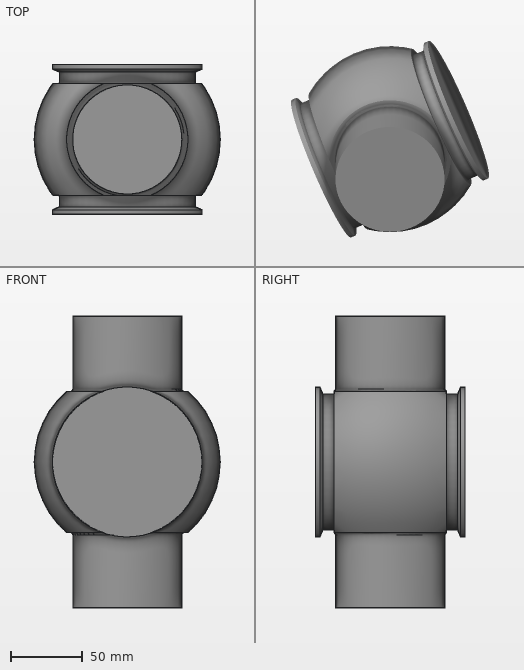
import cadquery as cq

body_diameter = 130.1
body_width = 78.3
body_height = 98.7

pipe_diameter = 76.3
pipe_length = 204.0
pipe_root_fillet = 1.6

port_span = 104.8
neck_diameter = 95.2
flange_diameter = 104.8
neck_root_fillet = 0.6
flange_rim_width = 3.3
flange_taper_width = 2.0

ARC_MID_FRACTION = 1 - 0.5 ** 0.5


def make_body():
    """Sphere trimmed flat at the pipe and port faces."""
    sphere = cq.Workplane("XY").sphere(body_diameter / 2)
    envelope = cq.Workplane("XY").box(body_diameter, body_width, body_height)
    return sphere.intersect(envelope)


def make_pipe():
    """Pipe with its root fillets, trimmed to the width between the port faces."""
    radius = pipe_diameter / 2
    fillet_radius = radius + pipe_root_fillet
    face = body_height / 2
    fillet_end = face + pipe_root_fillet
    end = pipe_length / 2
    mid_offset = pipe_root_fillet * ARC_MID_FRACTION
    profile = (
        cq.Workplane("XZ")
        .lineTo(fillet_radius, 0)
        .lineTo(fillet_radius, face)
        .threePointArc((radius + mid_offset, face + mid_offset), (radius, fillet_end))
        .lineTo(radius, end)
        .lineTo(0, end)
        .close()
    )
    upper = profile.revolve(360, (0, 0), (0, 1))
    pipe = upper.union(upper.mirror("XY"))
    return pipe.intersect(cq.Workplane("XY").box(body_diameter, body_width, pipe_length))


def make_ports():
    """Root fillet, neck and tapered flange of one port, mirrored across the body."""
    neck_radius = neck_diameter / 2
    flange_radius = flange_diameter / 2
    face = body_width / 2
    end = port_span / 2
    rim = end - flange_rim_width
    back = rim - flange_taper_width
    fillet_radius = neck_radius + neck_root_fillet
    fillet_end = face + neck_root_fillet
    mid_offset = neck_root_fillet * ARC_MID_FRACTION
    profile = (
        cq.Workplane("XY")
        .moveTo(0, face)
        .lineTo(fillet_radius, face)
        .threePointArc((neck_radius + mid_offset, face + mid_offset), (neck_radius, fillet_end))
        .lineTo(neck_radius, back)
        .lineTo(flange_radius, rim)
        .lineTo(flange_radius, end)
        .lineTo(0, end)
        .close()
    )
    port = profile.revolve(360, (0, 0), (0, 1))
    return port.union(port.mirror("XZ"))


result = make_body().union(make_pipe()).union(make_ports())